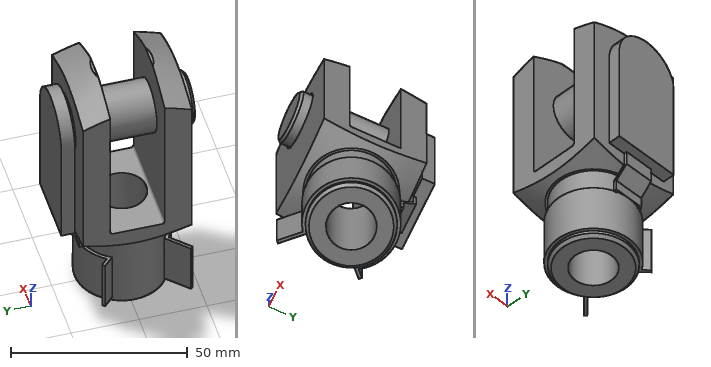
import cadquery as cq
import math

WIDTH = 32.0
HALF_WIDTH = WIDTH / 2
HEIGHT = 83.0
SLOT_WIDTH = WIDTH / 2
SLOT_FLOOR = 31.95
SLOT_CORNER_RADIUS = 1.0
TOP_FLAT_RADIUS = 9.0
TOP_CONE_ANGLE = 30.0
NECK_DIAMETER = 26.0
NECK_RADIUS = NECK_DIAMETER / 2
NECK_HEIGHT = 25.7
NECK_CHAMFER = 1.0
SHOULDER_INNER_RADIUS = 13.7
SHOULDER_CONE_ANGLE = 22.0
STEM_BORE_DIAMETER = 14.4
CORNER_RADIUS = math.hypot(HALF_WIDTH, HALF_WIDTH)
CORNER_CLEARANCE = 0.8
CONE_REACH = CORNER_RADIUS + CORNER_CLEARANCE

PIN_DIAMETER = 16.0
PIN_Z = 64.0
PIN_FRONT_Y = -19.5
PIN_CHAMFER = 0.8
PIN_HOLE_CHAMFER = 0.5

HEAD_WIDTH = 22.0
HEAD_THICKNESS = 4.0
HEAD_GAP = 1.0
HEAD_FRONT_Y = HALF_WIDTH + HEAD_GAP
HEAD_BACK_Y = HEAD_FRONT_Y + HEAD_THICKNESS
HEAD_BOTTOM = 30.1

SHEET = 1.0
STRIP_WIDTH = 10.0
STRIP_UPPER_BEND = 25.8
STRIP_LOWER_BEND = 21.9
CLIP_BOTTOM = 2.0
CLIP_HEIGHT = 16.0
CLIP_TOP = CLIP_BOTTOM + CLIP_HEIGHT
CLIP_OUTER_RADIUS = NECK_RADIUS + SHEET
CLIP_ROTATION = 135.0
LONG_TAB_OFFSET = 1.4
LONG_TAB_REACH = 21.6
SHORT_TAB_OFFSET = 3.7
SHORT_TAB_REACH = 16.5


def fork_envelope():
    """Turned profile that cones off the top and the shoulder and leaves the round neck."""
    top_drop = (CONE_REACH - TOP_FLAT_RADIUS) * math.tan(math.radians(TOP_CONE_ANGLE))
    shoulder_rise = (CONE_REACH - SHOULDER_INNER_RADIUS) * math.tan(math.radians(SHOULDER_CONE_ANGLE))
    profile = [
        (0, 0),
        (NECK_RADIUS - NECK_CHAMFER, 0),
        (NECK_RADIUS, NECK_CHAMFER),
        (NECK_RADIUS, NECK_HEIGHT),
        (SHOULDER_INNER_RADIUS, NECK_HEIGHT),
        (CONE_REACH, NECK_HEIGHT + shoulder_rise),
        (CONE_REACH, HEIGHT - top_drop),
        (TOP_FLAT_RADIUS, HEIGHT),
        (0, HEIGHT),
    ]
    return cq.Workplane("XZ").polyline(profile).close().revolve(360, (0, 0), (0, 1))


def fork_slot():
    """Slot between the two arms, open at the top, with rounded floor corners."""
    return (
        cq.Workplane("XY")
        .workplane(offset=SLOT_FLOOR)
        .rect(WIDTH, SLOT_WIDTH)
        .extrude(HEIGHT - SLOT_FLOOR)
        .edges("|X and <Z")
        .fillet(SLOT_CORNER_RADIUS)
    )


def pin_hole():
    """Cross hole through both arms, chamfered at the outer faces."""
    radius = PIN_DIAMETER / 2
    profile = [
        (0, -HALF_WIDTH),
        (radius + PIN_HOLE_CHAMFER, -HALF_WIDTH),
        (radius, -HALF_WIDTH + PIN_HOLE_CHAMFER),
        (radius, HALF_WIDTH - PIN_HOLE_CHAMFER),
        (radius + PIN_HOLE_CHAMFER, HALF_WIDTH),
        (0, HALF_WIDTH),
    ]
    hole = cq.Workplane("XY").polyline(profile).close().revolve(360, (0, 0), (0, 1))
    return hole.translate((0, 0, PIN_Z))


def make_fork():
    block = cq.Workplane("XY").box(WIDTH, WIDTH, HEIGHT, centered=(True, True, False))
    stem_bore = cq.Workplane("XY").circle(STEM_BORE_DIAMETER / 2).extrude(SLOT_FLOOR)
    return block.intersect(fork_envelope()).cut(fork_slot()).cut(pin_hole()).cut(stem_bore)


def pin_shaft():
    """Round pin with a chamfered front end, running back to the head plate."""
    return (
        cq.Workplane("XZ", origin=(0, HEAD_FRONT_Y, PIN_Z))
        .circle(PIN_DIAMETER / 2)
        .extrude(HEAD_FRONT_Y - PIN_FRONT_Y)
        .faces("<Y")
        .chamfer(PIN_CHAMFER)
    )


def head_plate():
    """Plate with a round top concentric with the pin and a square lower end."""
    half = HEAD_WIDTH / 2
    drop = HEAD_BOTTOM - PIN_Z
    return (
        cq.Workplane("XZ", origin=(0, HEAD_BACK_Y, PIN_Z))
        .moveTo(-half, drop)
        .lineTo(-half, 0)
        .threePointArc((0, half), (half, 0))
        .lineTo(half, drop)
        .close()
        .extrude(HEAD_THICKNESS)
    )


def spring_strip():
    """Cranked strip joining the head plate to the clip."""
    run = HEAD_FRONT_Y - NECK_RADIUS
    bend_angle = math.atan2(run, STRIP_UPPER_BEND - STRIP_LOWER_BEND)
    bend_shift = SHEET * math.tan(bend_angle / 2)
    profile = [
        (HEAD_FRONT_Y, HEAD_BOTTOM),
        (HEAD_FRONT_Y, STRIP_UPPER_BEND),
        (NECK_RADIUS, STRIP_LOWER_BEND),
        (NECK_RADIUS, CLIP_TOP),
        (CLIP_OUTER_RADIUS, CLIP_TOP),
        (CLIP_OUTER_RADIUS, STRIP_LOWER_BEND - bend_shift),
        (HEAD_FRONT_Y + SHEET, STRIP_UPPER_BEND - bend_shift),
        (HEAD_FRONT_Y + SHEET, HEAD_BOTTOM),
    ]
    return cq.Workplane("YZ").polyline(profile).close().extrude(STRIP_WIDTH / 2, both=True)


def clip_block(x_start, x_end, y_start, y_end):
    """Block of clip height, given by its extents in the clip's own turned frame."""
    return (
        cq.Workplane("XY", origin=(x_start, y_start, CLIP_BOTTOM))
        .box(x_end - x_start, y_end - y_start, CLIP_HEIGHT, centered=False)
    )


def clip():
    """Open ring round the neck, with a straight tab at each end of the opening."""
    clip_plane = cq.Workplane("XY", origin=(0, 0, CLIP_BOTTOM))
    neck_space = clip_plane.circle(NECK_RADIUS).extrude(CLIP_HEIGHT)
    ring = clip_plane.circle(CLIP_OUTER_RADIUS).extrude(CLIP_HEIGHT)
    opening = clip_block(-LONG_TAB_OFFSET, CLIP_OUTER_RADIUS, SHORT_TAB_OFFSET, CLIP_OUTER_RADIUS)
    tab_root = NECK_RADIUS - SHEET
    long_tab = clip_block(-LONG_TAB_OFFSET - SHEET, -LONG_TAB_OFFSET, tab_root, LONG_TAB_REACH)
    short_tab = clip_block(tab_root, SHORT_TAB_REACH, SHORT_TAB_OFFSET - SHEET, SHORT_TAB_OFFSET)
    bent_sheet = ring.cut(opening).union(long_tab).union(short_tab).cut(neck_space)
    return bent_sheet.rotate((0, 0, 0), (0, 0, 1), CLIP_ROTATION)


def make_pin():
    return pin_shaft().union(head_plate()).union(spring_strip()).union(clip())


fork = make_fork()
pin = make_pin()
result = cq.Compound.makeCompound([fork.val(), pin.val()])